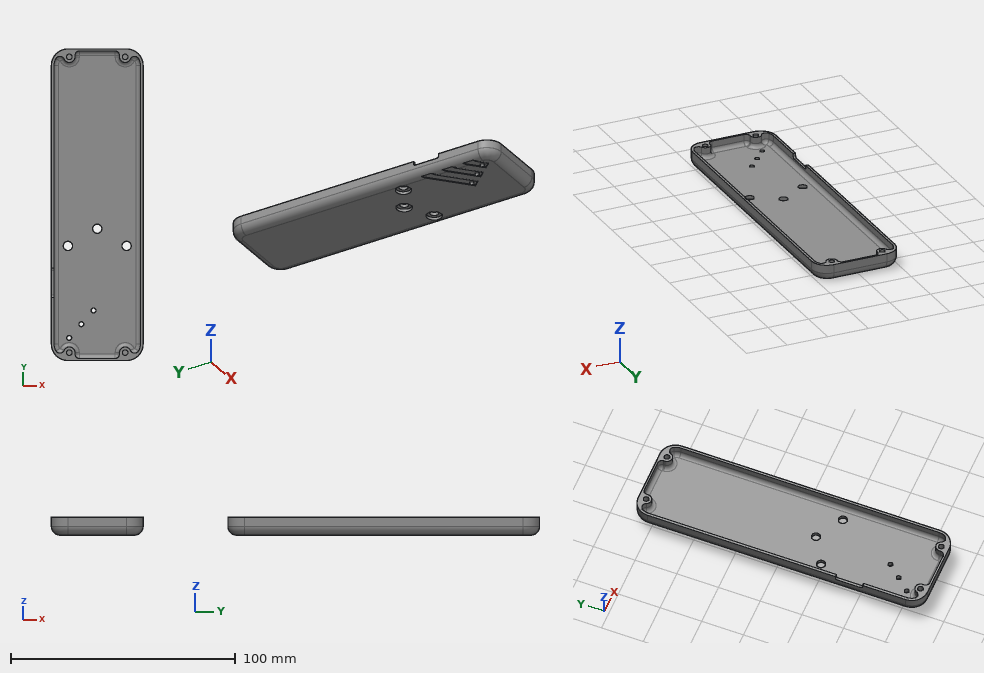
import cadquery as cq
import math

WIDTH = 41.0
LENGTH = 138.8
HEIGHT = 8.0
CORNER_RADIUS = 7.5
BOTTOM_FILLET = 4.0

SIDE_WALL = 1.2
END_WALL = 1.0
FLOOR_THICKNESS = 3.0
FLOOR_FILLET = 2.0
BLEND_RADIUS = 2.1

BOSS_SPACING_X = 24.8
BOSS_SPACING_Y = 131.6
BOSS_X = BOSS_SPACING_X / 2
BOSS_Y = BOSS_SPACING_Y / 2
BOSS_RADIUS = 2.5
SCREW_HOLE_DIAMETER = 2.5
SCREW_HOLE_DEPTH = 5.0

LARGE_HOLE_DIAMETER = 4.0
LARGE_HOLES = [(0, -10.7), (-13.0, -18.3), (13.0, -18.3)]
LARGE_COUNTERBORE_DIAMETER = 7.2
LARGE_COUNTERBORE_DEPTH = 1.4
SMALL_HOLE_DIAMETER = 2.1
SMALL_HOLE_COUNT = 3
FIRST_SMALL_HOLE = (-12.5, -59.3)
SMALL_HOLE_STEP = (5.4, 6.1)

GROOVE_WIDTH = 3.9
GROOVE_DEPTH = 0.5
GROOVE_OFFSET = 1.0

NOTCH_LENGTH = 13.0
NOTCH_CENTER_Y = -34.7
NOTCH_DEPTH = 2.1
NOTCH_CORNER_RADIUS = 1.0


def make_shell():
    """Rounded block with the bottom edge rolled over."""
    block = cq.Workplane("XY").box(WIDTH, LENGTH, HEIGHT, centered=(True, True, False))
    block = block.edges("|Z").fillet(CORNER_RADIUS)
    return block.faces("<Z").edges().fillet(BOTTOM_FILLET)


def point_toward(center, target, distance):
    """Point at a signed distance from center along the line to target."""
    angle = math.atan2(target[1] - center[1], target[0] - center[0])
    return (center[0] + distance * math.cos(angle), center[1] + distance * math.sin(angle))


def arc_middle(center, start, end, radius):
    """Middle of the shorter arc from start to end."""
    chord_middle = ((start[0] + end[0]) / 2, (start[1] + end[1]) / 2)
    return point_toward(center, chord_middle, radius)


def blend_center(boss, corner, corner_radius):
    """Center of the blend that touches the boss from outside and the corner wall from inside."""
    boss_distance = BOSS_RADIUS + BLEND_RADIUS
    corner_distance = corner_radius - BLEND_RADIUS
    spacing = math.dist(boss, corner)
    along = (boss_distance**2 + spacing**2 - corner_distance**2) / (2 * spacing)
    turn = math.acos(along / boss_distance)
    angle = math.atan2(corner[1] - boss[1], corner[0] - boss[0]) + turn
    return (boss[0] + boss_distance * math.cos(angle), boss[1] + boss_distance * math.sin(angle))


def make_cavity_quarter():
    """+X +Y quarter of the pocket, curving in around its screw boss."""
    inner_side = WIDTH / 2 - SIDE_WALL
    inner_end = LENGTH / 2 - END_WALL
    corner_radius = CORNER_RADIUS - SIDE_WALL
    corner = (WIDTH / 2 - CORNER_RADIUS, LENGTH / 2 - CORNER_RADIUS)
    boss = (BOSS_X, BOSS_Y)
    boss_side = BOSS_X - BOSS_RADIUS

    flank_center = (boss_side - BLEND_RADIUS, inner_end - BLEND_RADIUS)
    end_wall_touch = (flank_center[0], inner_end)
    flank_touch = (boss_side, flank_center[1])
    flank_middle = arc_middle(flank_center, end_wall_touch, flank_touch, BLEND_RADIUS)

    blend = blend_center(boss, corner, corner_radius)
    boss_touch = point_toward(boss, blend, BOSS_RADIUS)
    corner_touch = point_toward(corner, blend, corner_radius)
    blend_top = (blend[0], blend[1] + BLEND_RADIUS)

    corner_end = (inner_side, corner[1])
    return (
        cq.Workplane("XY", origin=(0, 0, FLOOR_THICKNESS))
        .lineTo(0, inner_end)
        .lineTo(*end_wall_touch)
        .threePointArc(flank_middle, flank_touch)
        .lineTo(boss_side, BOSS_Y)
        .threePointArc((BOSS_X, BOSS_Y - BOSS_RADIUS), boss_touch)
        .threePointArc(blend_top, corner_touch)
        .threePointArc(arc_middle(corner, corner_touch, corner_end, corner_radius), corner_end)
        .lineTo(inner_side, 0)
        .close()
        .extrude(HEIGHT - FLOOR_THICKNESS)
    )


def make_cavity():
    """Full pocket, mirrored from one quarter, with a rounded floor edge."""
    quarter = make_cavity_quarter()
    half = quarter.union(quarter.mirror("YZ"))
    cavity = half.union(half.mirror("XZ")).clean()
    return cavity.faces("<Z").edges().fillet(FLOOR_FILLET)


def small_hole_points():
    """Centers of the diagonal row of small holes."""
    first_x, first_y = FIRST_SMALL_HOLE
    step_x, step_y = SMALL_HOLE_STEP
    return [(first_x + i * step_x, first_y + i * step_y) for i in range(SMALL_HOLE_COUNT)]


def make_floor_holes():
    """Through holes in the floor; the large ones are counterbored from below."""
    floor = cq.Workplane("XY")
    large = floor.pushPoints(LARGE_HOLES).circle(LARGE_HOLE_DIAMETER / 2).extrude(HEIGHT)
    counterbores = (
        floor.pushPoints(LARGE_HOLES)
        .circle(LARGE_COUNTERBORE_DIAMETER / 2)
        .extrude(LARGE_COUNTERBORE_DEPTH)
    )
    small = floor.pushPoints(small_hole_points()).circle(SMALL_HOLE_DIAMETER / 2).extrude(HEIGHT)
    return large.union(counterbores).union(small)


def make_grooves():
    """Grooves square to the row of small holes, each running from its hole past the -X side."""
    row_angle = math.degrees(math.atan2(SMALL_HOLE_STEP[1], SMALL_HOLE_STEP[0]))
    length = WIDTH
    groove = (
        cq.Workplane("XY")
        .center(-GROOVE_OFFSET, (length - GROOVE_WIDTH) / 2)
        .rect(GROOVE_WIDTH, length)
        .extrude(GROOVE_DEPTH)
        .rotate((0, 0, 0), (0, 0, 1), row_angle)
    )
    grooves = cq.Workplane("XY")
    for x, y in small_hole_points():
        grooves = grooves.add(groove.translate((x, y, 0)))
    return grooves.combine()


def make_screw_holes():
    """Blind holes drilled down into the bosses from the rim."""
    return (
        cq.Workplane("XY", origin=(0, 0, HEIGHT))
        .rect(BOSS_SPACING_X, BOSS_SPACING_Y, forConstruction=True)
        .vertices()
        .circle(SCREW_HOLE_DIAMETER / 2)
        .extrude(-SCREW_HOLE_DEPTH)
    )


def make_notch():
    """Open notch through the -X wall, rounded at its two lower corners."""
    reach = 2 * SIDE_WALL
    return (
        cq.Workplane("XY", origin=(-WIDTH / 2, NOTCH_CENTER_Y, HEIGHT - NOTCH_DEPTH / 2))
        .box(2 * reach, NOTCH_LENGTH, NOTCH_DEPTH)
        .edges("|X and <Z")
        .fillet(NOTCH_CORNER_RADIUS)
    )


result = (
    make_shell()
    .cut(make_cavity())
    .cut(make_floor_holes())
    .cut(make_grooves())
    .cut(make_screw_holes())
    .cut(make_notch())
)